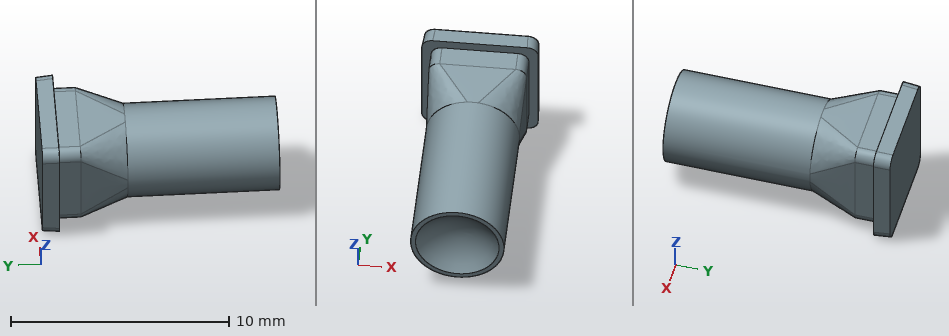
import cadquery as cq
import math

LENGTH = 10.92
FLANGE_SIDE = 5.36
FLANGE_THICKNESS = 0.78
FLANGE_CORNER = 0.5
FLANGE_END_SIDE = 5.26
BLOCK_SIDE = 4.5
BLOCK_THICKNESS = 1.0
BLOCK_CORNER = 0.5
TRANSITION_LENGTH = 2.16
TUBE_RADIUS = 2.15
RIM_RADIUS = 1.92
DISH_DEPTH = 0.81
FLAT_END_WIDTH = 0.5

flange_start = LENGTH - FLANGE_THICKNESS
block_start = flange_start - BLOCK_THICKNESS
tube_length = block_start - TRANSITION_LENGTH


def plane_at(y):
    """Section plane at a distance from the tube mouth, with its normal along +Y."""
    return cq.Workplane(cq.Plane(origin=(0, y, 0), xDir=(1, 0, 0), normal=(0, 1, 0)))


def eight_edge_wire(y, half_side, corner_centre, corner_radius, half_angle, flat_sides):
    """Closed section of four sides alternating with four corner arcs."""

    def corner_point(quarter, angle):
        x = corner_centre + corner_radius * math.cos(angle)
        z = corner_centre + corner_radius * math.sin(angle)
        turn = quarter * math.pi / 2
        return (x * math.cos(turn) - z * math.sin(turn), x * math.sin(turn) + z * math.cos(turn))

    wire = plane_at(y).moveTo(*corner_point(0, half_angle))
    for quarter in range(4):
        arc_end = corner_point(quarter, math.pi / 2 - half_angle)
        side_middle_angle = (quarter + 1) * math.pi / 2
        side_middle = (half_side * math.cos(side_middle_angle), half_side * math.sin(side_middle_angle))
        side_end = corner_point(quarter + 1, half_angle)
        wire = wire.threePointArc(corner_point(quarter, math.pi / 4), arc_end)
        if flat_sides:
            wire = wire.lineTo(*side_end)
        else:
            wire = wire.threePointArc(side_middle, side_end)
    return wire.wire().val()


def make_flange():
    """Slightly tapered flange whose corner radius stays constant."""
    sections = []
    for y, side in ((flange_start, FLANGE_SIDE), (LENGTH, FLANGE_END_SIDE)):
        sections.append(eight_edge_wire(y, side / 2, side / 2 - FLANGE_CORNER, FLANGE_CORNER, 0, True))
    return cq.Workplane(cq.Solid.makeLoft(sections, True))


def make_block():
    block = plane_at(block_start).rect(BLOCK_SIDE, BLOCK_SIDE).extrude(BLOCK_THICKNESS)
    return block.edges("|Y").fillet(BLOCK_CORNER)


def make_transition():
    """Ruled blend from the round tube to the square block."""
    half_angle = math.asin(FLAT_END_WIDTH / 2 / TUBE_RADIUS)
    round_end = eight_edge_wire(tube_length, TUBE_RADIUS, 0, TUBE_RADIUS, half_angle, False)
    half_block = BLOCK_SIDE / 2
    square_end = eight_edge_wire(block_start, half_block, half_block - BLOCK_CORNER, BLOCK_CORNER, 0, True)
    return cq.Workplane(cq.Solid.makeLoft([round_end, square_end], True))


tube = plane_at(0).circle(TUBE_RADIUS).extrude(tube_length)

dish_radius = (RIM_RADIUS**2 + DISH_DEPTH**2) / (2 * DISH_DEPTH)
dish_profile = cq.Workplane("XY").lineTo(RIM_RADIUS, 0)
dish_profile = dish_profile.radiusArc((0, DISH_DEPTH), -dish_radius).close()
dish = dish_profile.revolve(360, (0, 0, 0), (0, 1, 0))

body = tube.union(make_transition()).union(make_block()).union(make_flange())
result = body.cut(dish).translate((0, -LENGTH / 2, 0))